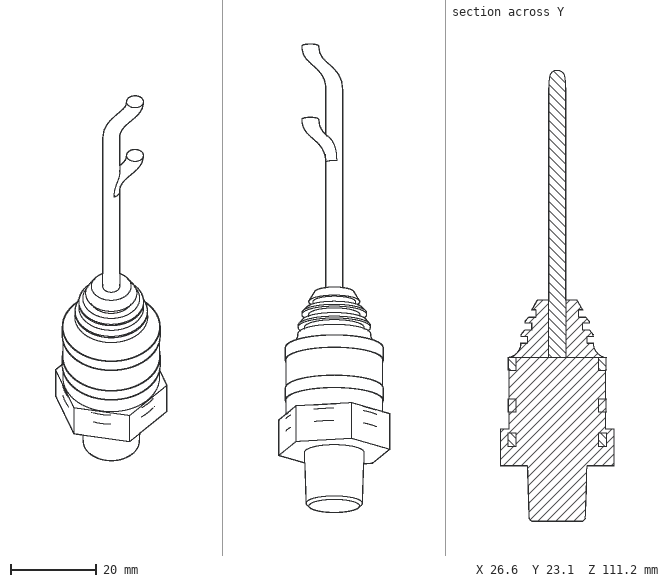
import cadquery as cq
import math

STUB_TOP_DIAMETER = 14.0
STUB_TIP_DIAMETER = 13.2
STUB_CHAMFER = 0.7
HEX_BOTTOM = 13.0
HEX_TOP = 21.7
BARREL_DIAMETER = 22.7
BARREL_TOP = 38.5

RING_DIAMETER = 23.0
RING_WALL = 1.8
RING_HEIGHT = 3.0
HEX_RING_BOTTOM = 17.7
MIDDLE_RING_BOTTOM = 25.7
TOP_RING_BOTTOM = BARREL_TOP - RING_HEIGHT
RING_BOTTOMS = [HEX_RING_BOTTOM, MIDDLE_RING_BOTTOM, TOP_RING_BOTTOM]

RING_WEB = 0.026
HEX_ACROSS_FLATS = RING_DIAMETER + 2 * RING_WEB
HEX_ACROSS_CORNERS = HEX_ACROSS_FLATS / math.cos(math.pi / 6)

FOOT_TOP_DIAMETER = 17.1
FOOT_TOP = 41.8
FLARE_RADIUS = 3.3
FLANGE_RIM = 0.5
FLANGES = [
    (14.0, 17.0, 15.2, 43.4, FLANGE_RIM, 44.9),
    (12.0, 15.2, 13.3, 46.5, FLANGE_RIM, 47.9),
    (10.0, 12.0, 9.3, 49.6, 0, 51.9),
]

WIRE_DIAMETER = 4.0
TOTAL_HEIGHT = 111.2
BRANCH_DROP = 17.8
BEND_OFFSET = 5.9
BEND_HEIGHT = 10.0
BEND_MIDDLE_DROP = 4.6


def cylinder(diameter, bottom, top):
    return cq.Workplane("XY").workplane(offset=bottom).circle(diameter / 2).extrude(top - bottom)


def make_ring(bottom):
    top = bottom + RING_HEIGHT
    return cylinder(RING_DIAMETER, bottom, top).cut(cylinder(RING_DIAMETER - 2 * RING_WALL, bottom, top))


def make_fitting():
    stub = (
        cq.Workplane("XZ")
        .moveTo(0, 0)
        .lineTo(STUB_TIP_DIAMETER / 2 - STUB_CHAMFER, 0)
        .lineTo(STUB_TIP_DIAMETER / 2, STUB_CHAMFER)
        .lineTo(STUB_TOP_DIAMETER / 2, HEX_BOTTOM)
        .lineTo(0, HEX_BOTTOM)
        .close()
        .revolve(360, (0, 0), (0, 1))
    )
    hexagon = (
        cq.Workplane("XY")
        .workplane(offset=HEX_BOTTOM)
        .polygon(6, HEX_ACROSS_CORNERS)
        .extrude(HEX_TOP - HEX_BOTTOM)
    )
    fitting = hexagon.union(stub).union(cylinder(BARREL_DIAMETER, HEX_TOP, BARREL_TOP))
    for bottom in RING_BOTTOMS:
        fitting = fitting.cut(make_ring(bottom))
    return fitting


def make_grommet():
    profile = (
        cq.Workplane("XZ")
        .moveTo(0, BARREL_TOP)
        .lineTo(BARREL_DIAMETER / 2, BARREL_TOP)
        .radiusArc((FOOT_TOP_DIAMETER / 2, FOOT_TOP), FLARE_RADIUS)
    )
    level = FOOT_TOP
    for neck, lower, upper, bottom, rim, top in FLANGES:
        profile = profile.lineTo(neck / 2, level).lineTo(neck / 2, bottom).lineTo(lower / 2, bottom)
        if rim:
            profile = profile.lineTo(lower / 2, bottom + rim)
        profile = profile.lineTo(upper / 2, top)
        level = top
    body = profile.lineTo(0, level).close().revolve(360, (0, 0), (0, 1))
    return body.cut(cylinder(WIRE_DIAMETER, BARREL_TOP, level))


def wire_circle(level):
    """Wire section starting on the +Y side, so that its seam stays clear of the branch junction."""
    plane = cq.Plane(origin=(0, 0, level), xDir=(0, 1, 0), normal=(0, 0, 1))
    return cq.Workplane(plane).circle(WIRE_DIAMETER / 2)


def make_bend(top):
    """S-bend below top that moves off the Z axis in +Y; every level section is a full circle."""
    path = (
        cq.Workplane("YZ")
        .moveTo(0, top - BEND_HEIGHT)
        .spline(
            [(BEND_OFFSET / 2, top - BEND_MIDDLE_DROP), (BEND_OFFSET, top)],
            tangents=[(0, 1), (0, 1)],
            includeCurrent=True,
        )
    )
    return wire_circle(top - BEND_HEIGHT).sweep(path, normal=(0, 0, 1))


def make_trunk():
    return wire_circle(BARREL_TOP).extrude(TOTAL_HEIGHT - BEND_HEIGHT - BARREL_TOP)


fitting = make_fitting()
rings = [make_ring(bottom) for bottom in RING_BOTTOMS]
grommet = make_grommet()
long_wire = make_trunk().union(make_bend(TOTAL_HEIGHT))
short_wire = make_bend(TOTAL_HEIGHT - BRANCH_DROP).cut(make_trunk())

result = cq.Compound.makeCompound(
    [fitting.val(), *[ring.val() for ring in rings], grommet.val(), long_wire.val(), short_wire.val()]
)